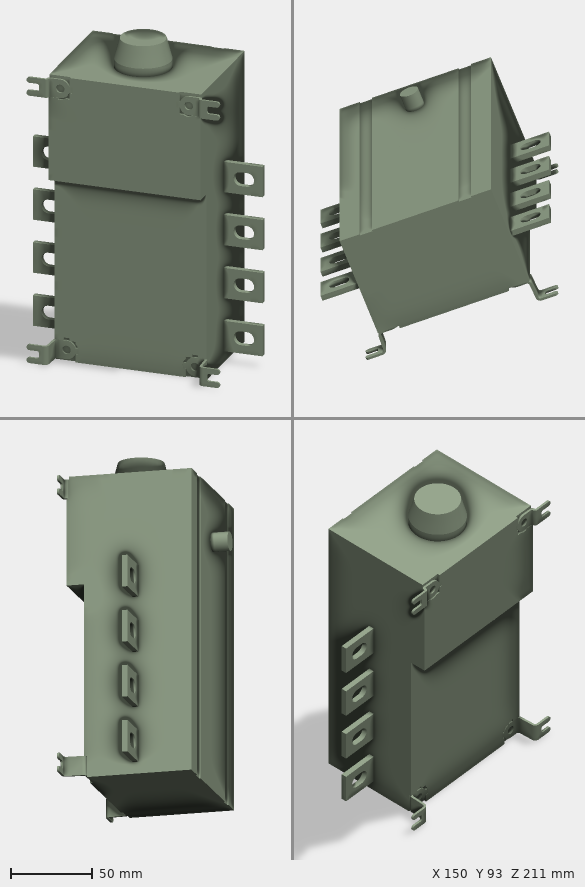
import cadquery as cq


body_width = 99.4
body_height = 192.0
lower_depth = 68.4
upper_depth = 79.5
step_z = 122.8

groove_width = 8.0
groove_depth = 0.8
groove_x = 32.5

knob_diameter = 36.0
knob_top_diameter = 29.0
knob_collar_height = 5.5
knob_height = 19.0
knob_y = -45.5
shaft_diameter = 12.0
shaft_length = 11.0
shaft_z = 157.6

terminal_span = 150.0
terminal_height = 20.0
terminal_thickness = 3.5
terminal_y = -35.7
terminal_count = 4
terminal_pitch = 35.0
first_terminal_z = 17.5
terminal_slot_length = 13.3
terminal_slot_height = 9.0
terminal_slot_inset = 12.2

strap_thickness = 1.5
strap_half_height = 6.1
hole_x = 42.0
hole_diameter = 5.5
tongue_reach = 8.0
tongue_half_height = 2.0
leg_inner_x = 49.4
leg_lean = 0.6
foot_tip_x = 63.0
foot_front_y = -82.0
fork_slot_height = 4.9
fork_slot_end_x = 54.9
fork_slot_corner = 1.3
upper_hole_z = 184.0
lower_hole_z = 7.4
upper_bend_radius = 0.5
lower_bend_radius = 1.5

recess_depth = 1.7
upper_relief_shift = 1.0
lower_relief_shift = tongue_reach - strap_half_height


def box(x_range, y_range, z_range):
    """Axis-aligned box between the given limits."""
    size = [max(r) - min(r) for r in (x_range, y_range, z_range)]
    corner = (min(x_range), min(y_range), min(z_range))
    return cq.Workplane("XY").box(*size, centered=False).translate(corner)


def front_plane(y):
    """Workplane facing the front at depth y; local axes are X and Z, extrusion goes towards -Y."""
    return cq.Workplane("XZ", origin=(0, y, 0))


def mirrored_pair(shape):
    return shape.union(shape.mirror("YZ"))


def housing():
    half_width = body_width / 2
    body = (
        cq.Workplane("YZ", origin=(-half_width, 0, 0))
        .polyline([
            (0, 0),
            (-lower_depth, 0),
            (-lower_depth, step_z),
            (-upper_depth, step_z),
            (-upper_depth, body_height),
            (0, body_height),
        ])
        .close()
        .extrude(body_width)
    )
    groove = box(
        (groove_x - groove_width / 2, groove_x + groove_width / 2),
        (-groove_depth, 0),
        (0, body_height),
    )
    return body.cut(mirrored_pair(groove))


def knob():
    collar_z = body_height + knob_collar_height
    top_z = body_height + knob_height
    profile = (
        cq.Workplane("XZ")
        .polyline([
            (0, body_height),
            (knob_diameter / 2, body_height),
            (knob_diameter / 2, collar_z),
            (knob_top_diameter / 2, top_z),
            (0, top_z),
        ])
        .close()
    )
    return profile.revolve(360, (0, 0), (0, 1)).translate((0, knob_y, 0))


def shaft():
    return front_plane(shaft_length).center(0, shaft_z).circle(shaft_diameter / 2).extrude(shaft_length)


def terminals():
    """Bars running through the housing so that both ends stick out."""
    back_y = terminal_y + terminal_thickness / 2
    slot_x = terminal_span / 2 - terminal_slot_inset
    bar_heights = [first_terminal_z + i * terminal_pitch for i in range(terminal_count)]
    bar_centers = [(0, z) for z in bar_heights]
    slot_centers = [(side * slot_x, z) for side in (-1, 1) for z in bar_heights]
    bars = (
        front_plane(back_y)
        .pushPoints(bar_centers)
        .rect(terminal_span, terminal_height)
        .extrude(terminal_thickness)
    )
    slots = (
        front_plane(back_y)
        .pushPoints(slot_centers)
        .slot2D(terminal_slot_length, terminal_slot_height)
        .extrude(terminal_thickness)
    )
    return bars.cut(slots)


def recess(face_y, hole_z, end_z, slot_direction, shift_direction, shift):
    """Corner pocket for a right-hand tab, open to the side and to the housing end at end_z.

    A narrow slot leaves the hole along slot_direction, and a round clearance is moved by shift
    along shift_direction. Both directions are unit (x, z) pairs.
    """
    y_range = (face_y, face_y + recess_depth)
    side_x = body_width / 2
    inner_x = hole_x - strap_half_height
    inner_z = hole_z + (strap_half_height if hole_z > end_z else -strap_half_height)
    corner = box((inner_x, side_x), y_range, (inner_z, end_z))

    slot_x, slot_z = slot_direction
    shift_x, shift_z = shift_direction

    def relief_box(start, reach, half_width):
        """Box along slot_direction, from start to reach measured from the hole centre."""
        x_spread = half_width * abs(slot_z)
        z_spread = half_width * abs(slot_x)
        x_ends = (start * slot_x, reach * slot_x)
        z_ends = (start * slot_z, reach * slot_z)
        return box(
            (hole_x + min(x_ends) - x_spread, hole_x + max(x_ends) + x_spread),
            y_range,
            (hole_z + min(z_ends) - z_spread, hole_z + max(z_ends) + z_spread),
        )

    slot = relief_box(0, tongue_reach, tongue_half_height)
    clearance = (
        front_plane(max(y_range))
        .center(hole_x + shift * shift_x, hole_z + shift * shift_z)
        .circle(strap_half_height)
        .extrude(recess_depth)
        .intersect(relief_box(-tongue_half_height, tongue_reach, tongue_reach))
    )
    return corner.union(slot).union(clearance)


def bracket_outline(hole_z):
    """Front shape of a right-hand bracket: round end with tongue, hole and forked foot."""
    depth = -foot_front_y

    def bar(start_x, end_x, half_height):
        return box((start_x, end_x), (-depth, 0), (hole_z - half_height, hole_z + half_height))

    def disc(x, z, radius):
        return front_plane(0).center(x, z).circle(radius).extrude(depth)

    prong_radius = (strap_half_height - fork_slot_height / 2) / 2
    prong_offset = strap_half_height - prong_radius
    prong_x = foot_tip_x - prong_radius
    fork_slot = bar(fork_slot_end_x, foot_tip_x, fork_slot_height / 2)
    fork_slot = fork_slot.edges("|Y and <X").fillet(fork_slot_corner)

    outline = bar(hole_x, prong_x, strap_half_height).union(disc(hole_x, hole_z, strap_half_height))
    outline = outline.union(bar(hole_x - tongue_reach, hole_x, tongue_half_height))
    outline = outline.cut(fork_slot)
    for side in (-1, 1):
        outline = outline.union(disc(prong_x, hole_z + side * prong_offset, prong_radius))
    return outline.cut(disc(hole_x, hole_z, hole_diameter / 2))


def bracket(face_y, hole_z, bend_radius):
    """Right-hand bracket: tab on the recess floor, leaning leg towards the front, foot pointing outwards."""
    tab_end_x = hole_x - tongue_reach
    tab_back = face_y + recess_depth
    tab_front = tab_back - strap_thickness
    foot_back = foot_front_y + strap_thickness
    leg_outer_x = leg_inner_x + strap_thickness

    tab_outside = (leg_outer_x - leg_lean, tab_back)
    tab_inside = (leg_inner_x - leg_lean, tab_front)
    foot_outside = (leg_inner_x, foot_front_y)
    foot_inside = (leg_outer_x, foot_back)
    strap = (
        cq.Workplane("XY", origin=(0, 0, hole_z - strap_half_height))
        .polyline([
            (tab_end_x, tab_back),
            tab_outside,
            foot_inside,
            (foot_tip_x, foot_back),
            (foot_tip_x, foot_front_y),
            foot_outside,
            tab_inside,
            (tab_end_x, tab_front),
        ])
        .close()
        .extrude(2 * strap_half_height)
    )
    bends = [
        (tab_inside, bend_radius),
        (tab_outside, bend_radius + strap_thickness),
        (foot_inside, bend_radius),
        (foot_outside, bend_radius + strap_thickness),
    ]
    for (x, y), radius in bends:
        strap = strap.edges(cq.NearestToPointSelector((x, y, hole_z))).fillet(radius)
    return strap.intersect(bracket_outline(hole_z))


inboard = (-1, 0)
upward = (0, 1)
downward = (0, -1)

upper_recess = recess(-upper_depth, upper_hole_z, body_height, inboard, downward, upper_relief_shift)
lower_recess = recess(-lower_depth, lower_hole_z, 0, upward, inboard, lower_relief_shift)
upper_bracket = bracket(-upper_depth, upper_hole_z, upper_bend_radius)
lower_bracket = bracket(-lower_depth, lower_hole_z, lower_bend_radius)

result = housing().cut(mirrored_pair(upper_recess)).cut(mirrored_pair(lower_recess))
result = result.union(knob()).union(shaft()).union(terminals())
for right_bracket in (upper_bracket, lower_bracket):
    result = result.union(mirrored_pair(right_bracket))